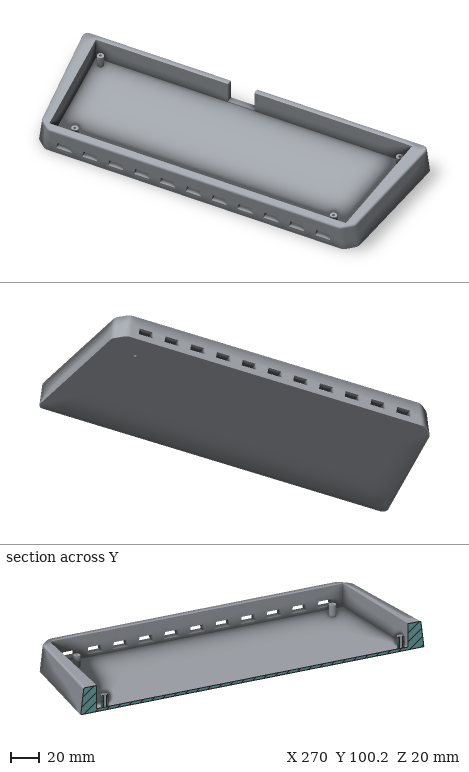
import cadquery as cq
import math

length = 270.0
depth = 100.2
height = 20.0

side_run = 13.0
end_lean = 2.5
back_radius = 4.0
front_chamfer = 7.3
front_radius = 6.0
rim_radius = 1.5

feature_center_x = -0.5

floor_thickness = 2.5
back_wall = 4.9
front_wall = 6.0
pocket_back_half = 122.0
pocket_front_half = 114.5

slot_count = 11
slot_pitch = 20.0
slot_bottom_width = 11.5
slot_top_width = 10.0
slot_bottom = 4.9
slot_height = 5.0

notch_left = -20.0
notch_right = 0.0
notch_floor = 3.5
notch_radius = 0.8

standoff_diameter = 5.0
standoff_bore = 2.0
standoff_height = 9.0
back_standoff_x = 115.5
front_standoff_x = 100.0
back_standoff_y = 40.2
front_standoff_y = -32.7

side_angle = math.atan(side_run / depth)
corner_setback = back_radius * (math.tan(side_angle) + 1 / math.cos(side_angle) - 1)
back_half = length / 2 + corner_setback
back_y = depth / 2
front_y = -depth / 2
pocket_back_y = back_y - back_wall
pocket_front_y = front_y + front_wall


def trapezoid(plane_z, back_half_width, front_half_width, back, front):
    corners = [
        (-back_half_width, back),
        (-front_half_width, front),
        (front_half_width, front),
        (back_half_width, back),
    ]
    return cq.Workplane("XY", origin=(0, 0, plane_z)).polyline(corners).close()


def leaning_block(shift):
    """The outer trapezoid extruded along a direction that drifts by `shift` in X."""
    outline = trapezoid(0, back_half, back_half - side_run, back_y, front_y).wires().val()
    return cq.Workplane(cq.Solid.extrudeLinear(outline, [], cq.Vector(shift, 0, height)))


def outer_block():
    block = leaning_block(end_lean).intersect(leaning_block(-end_lean))
    upright = "not(#Z)"
    block = block.faces("<Y").edges(upright).chamfer(front_chamfer)
    block = block.edges(upright).edges("not >Y").fillet(front_radius)
    block = block.faces(">Y").edges(upright).fillet(back_radius)
    return block.faces(">Z").edges().fillet(rim_radius)


def pocket():
    return trapezoid(
        floor_thickness, pocket_back_half, pocket_front_half, pocket_back_y, pocket_front_y
    ).extrude(height)


def front_slot(center_x):
    return (
        cq.Workplane("XZ", origin=(center_x, pocket_front_y, slot_bottom))
        .polyline([
            (-slot_bottom_width / 2, 0),
            (slot_bottom_width / 2, 0),
            (slot_top_width / 2, slot_height),
            (-slot_top_width / 2, slot_height),
        ])
        .close()
        .extrude(front_wall)
    )


def back_notch():
    return (
        cq.Workplane("XY", origin=(notch_left, pocket_back_y, notch_floor))
        .box(notch_right - notch_left, back_wall, height, centered=False)
    )


def notch_edges(housing):
    """The edges where the walls and floor of the notch meet both faces of the back wall."""
    reach = notch_radius / 2
    inner_mouth, outer_mouth = [
        cq.selectors.BoxSelector(
            (notch_left - reach, wall_y - reach, notch_floor - reach),
            (notch_right + reach, wall_y + reach, height),
        )
        for wall_y in (pocket_back_y, back_y)
    ]
    return housing.edges(inner_mouth + outer_mouth)


def floor_hole():
    """The bore of the front left standoff carries on down through the floor."""
    return (
        cq.Workplane("XY", origin=(feature_center_x - front_standoff_x, front_standoff_y, 0))
        .circle(standoff_bore / 2)
        .extrude(floor_thickness)
    )


def make_housing():
    housing = outer_block().cut(pocket()).cut(back_notch())
    housing = notch_edges(housing).fillet(notch_radius)
    first_slot_x = feature_center_x - slot_pitch * (slot_count - 1) / 2
    for index in range(slot_count):
        housing = housing.cut(front_slot(first_slot_x + index * slot_pitch))
    return housing.cut(floor_hole())


def make_standoff(x, y):
    return (
        cq.Workplane("XY", origin=(x, y, floor_thickness))
        .circle(standoff_diameter / 2)
        .circle(standoff_bore / 2)
        .extrude(standoff_height)
    )


housing = make_housing()
standoffs = []
for side in (-1, 1):
    standoffs.append(make_standoff(feature_center_x + side * back_standoff_x, back_standoff_y))
    standoffs.append(make_standoff(feature_center_x + side * front_standoff_x, front_standoff_y))

result = cq.Compound.makeCompound([housing.val(), *[standoff.val() for standoff in standoffs]])